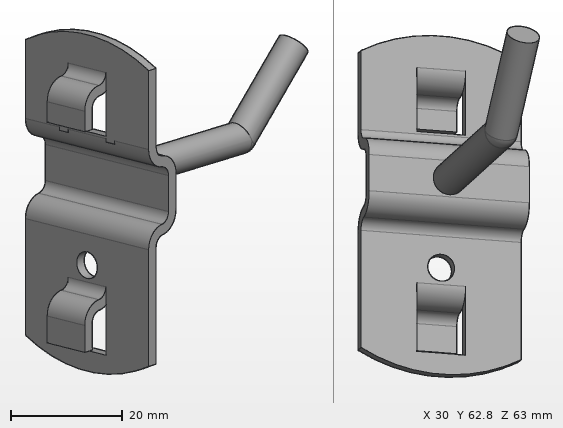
import cadquery as cq
import math

plate_width = 30.0
plate_height = 63.0
thickness = 2.0
end_arc_rise = 3.85

bend_radius = 3.0

channel_offset = 5.3
channel_flat = 6.75
channel_center_z = 3.5

hook_width = 9.15
hook_offset = 5.6
upper_slot_top = 25.25
upper_slot_height = 11.9
upper_hook_leg = 3.85
lower_slot_top = -14.8
lower_slot_height = 12.8
lower_hook_leg = 5.05

tab_width = 2.15
tab_drop = 0.6

hole_diameter = 5.0
hole_z = -11.65

rod_diameter = 6.0
rod_straight = 33.4
rod_tip_length = 20.35
rod_angle = 45.0

plate_top = plate_height / 2
mid_y = thickness / 2


def bend_angle(offset):
    """Turn of each arc of an S-bend that shifts the sheet sideways by offset."""
    return math.acos(1 - offset / (2 * bend_radius))


def bend_height(offset):
    return 2 * bend_radius * math.sin(bend_angle(offset))


def s_bend(top_z, start_y, shift, width):
    """Sheet strip descending from top_z; its mid-plane moves from start_y by shift."""
    side = math.copysign(1, shift)
    turn = bend_angle(abs(shift))
    end_y = start_y + shift
    end_z = top_z - bend_height(abs(shift))
    inner = bend_radius - thickness / 2
    outer = bend_radius + thickness / 2

    def first_arc(radius, angle):
        center_y = start_y + side * bend_radius
        return (center_y - side * radius * math.cos(angle), top_z - radius * math.sin(angle))

    def second_arc(radius, angle):
        center_y = end_y - side * bend_radius
        return (center_y + side * radius * math.cos(angle), end_z + radius * math.sin(angle))

    return (
        cq.Workplane("YZ")
        .moveTo(*first_arc(outer, 0))
        .threePointArc(first_arc(outer, turn / 2), first_arc(outer, turn))
        .threePointArc(second_arc(inner, turn / 2), second_arc(inner, 0))
        .lineTo(*second_arc(outer, 0))
        .threePointArc(second_arc(outer, turn / 2), second_arc(outer, turn))
        .threePointArc(first_arc(inner, turn / 2), first_arc(inner, 0))
        .close()
        .extrude(width / 2, both=True)
    )


def flat(width, top_z, height, center_y, center_x=0):
    """Upright rectangle of sheet hanging down from top_z."""
    return cq.Workplane("XY").box(width, thickness, height).translate(
        (center_x, center_y, top_z - height / 2)
    )


def rounded_end(inner_z, direction):
    """Flat plate from inner_z to the arched end; direction is +1 for up, -1 for down."""
    half_width = plate_width / 2
    tip_z = direction * plate_top
    corner_z = tip_z - direction * end_arc_rise
    return (
        cq.Workplane("XZ")
        .moveTo(-half_width, inner_z)
        .lineTo(-half_width, corner_z)
        .threePointArc((0, tip_z), (half_width, corner_z))
        .lineTo(half_width, inner_z)
        .close()
        .extrude(-thickness)
    )


def plate():
    channel_top = channel_center_z + channel_flat / 2
    channel_bottom = channel_center_z - channel_flat / 2
    upper_flat_bottom = channel_top + bend_height(channel_offset)
    lower_flat_top = channel_bottom - bend_height(channel_offset)
    channel_y = mid_y + channel_offset
    body = (
        rounded_end(upper_flat_bottom, 1)
        .union(s_bend(upper_flat_bottom, mid_y, channel_offset, plate_width))
        .union(flat(plate_width, channel_top, channel_flat, channel_y))
        .union(s_bend(channel_bottom, channel_y, -channel_offset, plate_width))
        .union(rounded_end(lower_flat_top, -1))
    )
    for side in (-1, 1):
        tab_x = side * (hook_width + tab_width) / 2
        body = body.union(flat(tab_width, upper_flat_bottom, tab_drop, mid_y, tab_x))
    hole = (
        cq.Workplane("XZ")
        .center(0, hole_z)
        .circle(hole_diameter / 2)
        .extrude(-thickness)
    )
    return body.cut(hole)


def add_hook(body, slot_top, slot_height, leg):
    """Open the slot and hang the hook from its upper edge."""
    leg_top = slot_top - bend_height(hook_offset)
    return (
        body.cut(flat(hook_width, slot_top, slot_height, mid_y))
        .union(s_bend(slot_top, mid_y, -hook_offset, hook_width))
        .union(flat(hook_width, leg_top, leg, mid_y - hook_offset))
    )


def rod():
    """Straight rod with an angled tip; a ball rounds the outside of the knee."""
    radius = rod_diameter / 2
    root = cq.Vector(0, channel_offset + thickness, channel_center_z)
    along = cq.Vector(0, 1, 0)
    knee = root + along * rod_straight
    angle = math.radians(rod_angle)
    tip_direction = cq.Vector(0, math.cos(angle), math.sin(angle))
    straight = cq.Solid.makeCylinder(radius, rod_straight, root, along)
    tip = cq.Solid.makeCylinder(radius, rod_tip_length, knee, tip_direction)
    ball = cq.Workplane("XY").sphere(radius).translate(knee)
    return cq.Workplane(straight).union(cq.Workplane(tip)).union(ball)


result = plate()
result = add_hook(result, upper_slot_top, upper_slot_height, upper_hook_leg)
result = add_hook(result, lower_slot_top, lower_slot_height, lower_hook_leg)
result = result.union(rod())